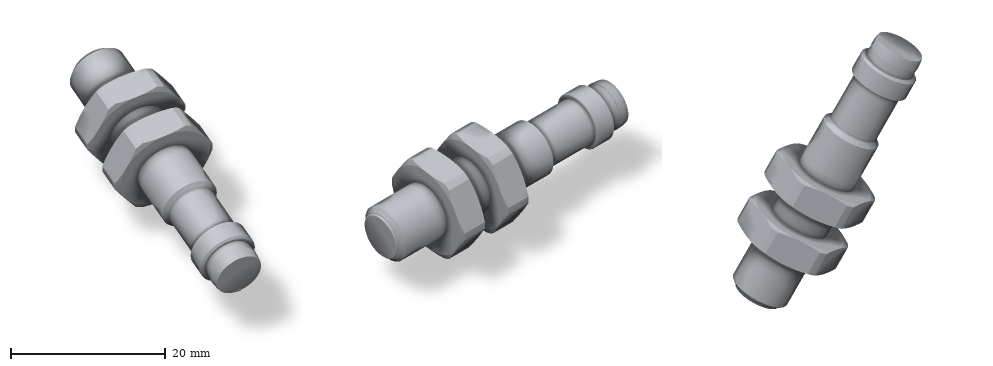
import cadquery as cq
import math

TOTAL_LENGTH = 39.9

BODY_DIAMETER = 8.0
BODY_END = 26.25
NOSE_DIAMETER = 6.7
NOSE_START = 0.3
NOSE_CHAMFER_END = 0.9

CAP_DIAMETER = 6.5
CAP_RIM_RADIUS = 0.25

NECK_DIAMETER = 6.7
COLLAR_START = 33.9
COLLAR_END = 36.95
COLLAR_FRONT_CHAMFER = 0.1
COLLAR_REAR_CHAMFER = 0.28
LIP_START = 38.35
LIP_DIAMETER = 6.85
LIP_END_DIAMETER = 6.5
KEY_PROTRUSION = 0.08
KEY_WIDTH = 0.55
KEY_HEIGHT = 0.28

NUT_STARTS = (7.98, 15.5)
NUT_THICKNESS = 4.0
NUT_ACROSS_FLATS = 13.0
NUT_CORNER_DIAMETER = 14.4
NUT_CHAMFER_LENGTH = 0.28


def revolve_profile(points):
    """Revolve (X, radius) points, starting and ending on the axis, about X."""
    profile = cq.Workplane("XY").polyline(points).close()
    return profile.revolve(360, (0, 0, 0), (1, 0, 0))


def make_body():
    body_radius = BODY_DIAMETER / 2
    neck_radius = NECK_DIAMETER / 2
    shoulder = body_radius - neck_radius
    return revolve_profile([
        (NOSE_START, 0),
        (NOSE_START, NOSE_DIAMETER / 2),
        (NOSE_CHAMFER_END, body_radius),
        (BODY_END, body_radius),
        (BODY_END + shoulder, neck_radius),
        (COLLAR_START, neck_radius),
        (COLLAR_START, body_radius - COLLAR_FRONT_CHAMFER),
        (COLLAR_START + COLLAR_FRONT_CHAMFER, body_radius),
        (COLLAR_END - COLLAR_REAR_CHAMFER, body_radius),
        (COLLAR_END, body_radius - COLLAR_REAR_CHAMFER),
        (COLLAR_END, neck_radius),
        (LIP_START, neck_radius),
        (LIP_START, 0),
    ])


def make_cap():
    cap = cq.Workplane("YZ").circle(CAP_DIAMETER / 2).extrude(NOSE_START)
    return cap.faces("<X").edges().fillet(CAP_RIM_RADIUS)


def make_lip():
    """Snap-in lip that curves inward, starting parallel to the axis."""
    plug_end = TOTAL_LENGTH - KEY_PROTRUSION
    lip_length = plug_end - LIP_START
    lip_radius = LIP_DIAMETER / 2
    end_radius = LIP_END_DIAMETER / 2
    drop = lip_radius - end_radius
    curve_radius = (lip_length**2 + drop**2) / (2 * drop)
    half_angle = math.asin(lip_length / curve_radius) / 2
    curve_middle = (
        LIP_START + curve_radius * math.sin(half_angle),
        lip_radius - curve_radius * (1 - math.cos(half_angle)),
    )
    return (
        cq.Workplane("XY")
        .moveTo(LIP_START, 0)
        .lineTo(LIP_START, lip_radius)
        .threePointArc(curve_middle, (plug_end, end_radius))
        .lineTo(plug_end, 0)
        .close()
        .revolve(360, (0, 0, 0), (1, 0, 0))
    )


def make_key():
    """Small key standing proud of the plug end, at the bottom of its rim."""
    key_length = TOTAL_LENGTH - LIP_START
    bottom = -LIP_END_DIAMETER / 2
    return (
        cq.Workplane("XY")
        .box(key_length, KEY_WIDTH, KEY_HEIGHT, centered=(False, True, False))
        .translate((LIP_START, 0, bottom))
    )


def make_nut(start):
    """Hexagonal nut with flats facing +Z and -Z, turned corners and chamfered faces."""
    end = start + NUT_THICKNESS
    hexagon = (
        cq.Workplane("YZ", origin=(start, 0, 0))
        .polygon(6, NUT_ACROSS_FLATS / math.cos(math.pi / 6))
        .extrude(NUT_THICKNESS)
    )
    face_radius = NUT_ACROSS_FLATS / 2
    corner_radius = NUT_CORNER_DIAMETER / 2
    turned_blank = revolve_profile([
        (start, 0),
        (start, face_radius),
        (start + NUT_CHAMFER_LENGTH, corner_radius),
        (end - NUT_CHAMFER_LENGTH, corner_radius),
        (end, face_radius),
        (end, 0),
    ])
    return hexagon.intersect(turned_blank)


result = make_body().union(make_cap()).union(make_lip()).union(make_key())
for nut_start in NUT_STARTS:
    result = result.union(make_nut(nut_start))